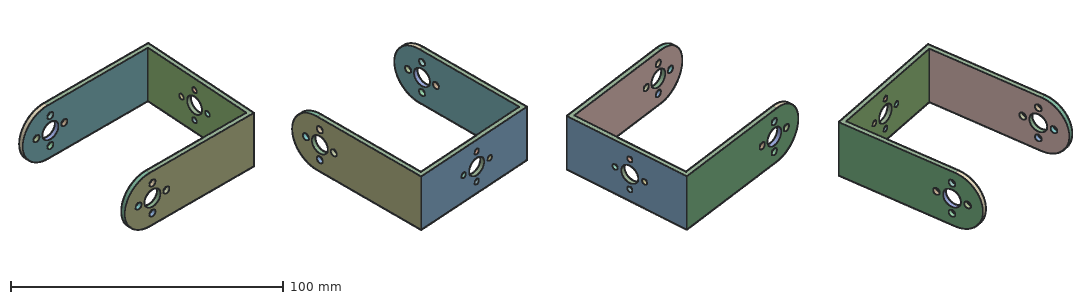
import cadquery as cq

width = 57.0
length = 65.0
height = 25.0
wall = 2.0

bore_diameter = 8.0
small_hole_spacing = 7.0
leg_small_diameter = 3.0
back_small_diameter = 2.4
leg_pattern_from_tip = 14.0
back_pattern_x = -1.4

tip_radius = height / 2
tip_y = -length / 2
back_y = length / 2
tip_centre_y = tip_y + tip_radius


def hole_pattern(plane, small_diameter, depth):
    """Cutter centred on the plane: a bore and four small holes around it."""
    bore = cq.Workplane(plane).circle(bore_diameter / 2).extrude(depth, both=True)
    small_holes = (
        cq.Workplane(plane)
        .polarArray(small_hole_spacing, 0, 360, 4)
        .circle(small_diameter / 2)
        .extrude(depth, both=True)
    )
    return bore.union(small_holes)


side_profile = (
    cq.Workplane("YZ", origin=(-width / 2, 0, 0))
    .moveTo(back_y, -height / 2)
    .lineTo(tip_centre_y, -height / 2)
    .threePointArc((tip_y, 0), (tip_centre_y, height / 2))
    .lineTo(back_y, height / 2)
    .close()
    .extrude(width)
)

opening = cq.Workplane("XY").box(width - 2 * wall, length, height).translate((0, -wall, 0))
bracket = side_profile.cut(opening)

leg_plane = cq.Plane(
    origin=(0, tip_y + leg_pattern_from_tip, 0), xDir=(0, 1, 0), normal=(1, 0, 0)
)
bracket = bracket.cut(hole_pattern(leg_plane, leg_small_diameter, width))

back_plane = cq.Plane(origin=(back_pattern_x, back_y, 0), xDir=(1, 0, 0), normal=(0, -1, 0))
result = bracket.cut(hole_pattern(back_plane, back_small_diameter, 2 * wall))